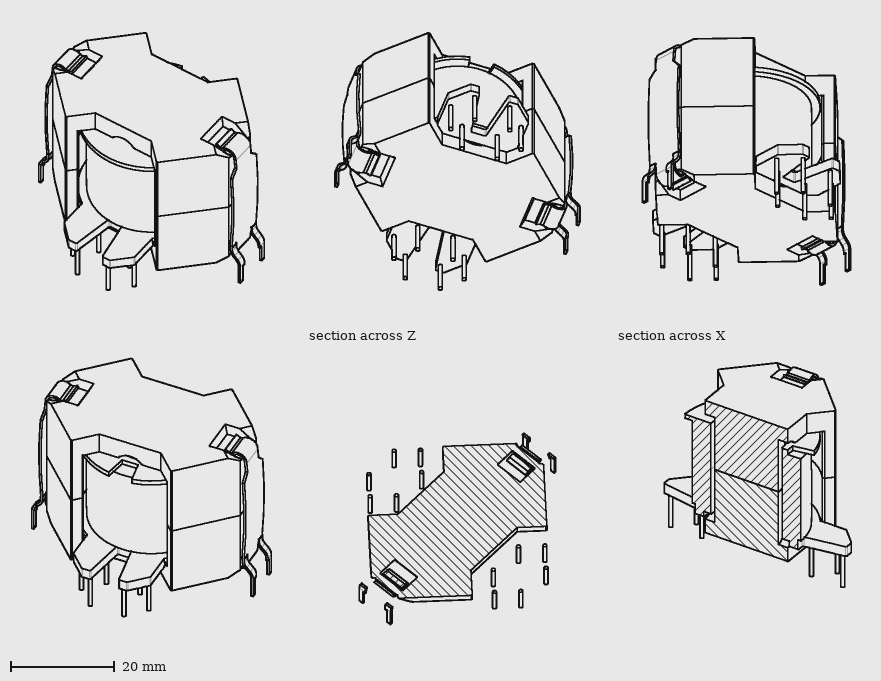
import cadquery as cq
import math

half_height = 15.05
core_end_x = 20.65
core_end_half_width = 3.65
tip_y = 13.45
waist_y = 9.55
waist_half_length = 6.55
post_diameter = 14.75
window_diameter = 29.25
opening_half_width = 9.05
window_half_height = 10.6
wire_channel_radius = 3.1
wire_channel_crown_z = 11.85

facet_top_x = 18.9
facet_end_drop = 1.3

pocket_inner_x = 14.0
pocket_half_width = 3.6
pocket_floor_z = 13.4
pocket_wall_inset = 0.75
ridge_x = 19.05
ridge_z = 13.85
ridge_foot_x = 18.65
pocket_lip_z = 13.55

flange_diameter = 28.3
winding_diameter = 25.0
bobbin_bore = 16.3
flange_outer_z = 10.35
flange_inner_z = 9.35
notch_mouth_half_width = 2.45
notch_root_half_width = 1.7
notch_mouth_y = 13.92
notch_root_y = 9.55
block_half_width = 8.2
block_end_y = 21.0
block_bottom_z = -11.5
block_chamfer = 3.4
block_corner_radius = 0.3
core_clearance = 0.2
slot_mouth_half_width = 3.0
slot_root_half_width = 1.5
slot_root_y = 11.9
slot_root_radius = 0.3

pin_diameter = 0.8
pin_pitch = 3.6
pin_tip_z = -19.0
pin_middle_y = 16.2

clip_thickness = 0.45
clip_outer_x = 22.1
clip_half_width = 4.05
tongue_half_width = 2.45
hook_center_x = 19.6
hook_center_z = 12.6
hook_radius = 1.9
hook_end_angle = 50.0
valley_x = 17.8
valley_z = 13.92
hook_tip_length = 1.0
hook_tip_angle = 30.0
taper_start_z = 8.8
leg_top_z = -10.35
leg_bend_z = -11.05
leg_inner_y = 2.6
leg_outer_x = 23.6
leg_bend_angle = 45.0
leg_upper_radius = 1.65
leg_lower_radius = 2.12
leg_slope_drop = 0.75
leg_step_z = -15.05
leg_pin_width = 0.95


def core_outline():
    tip_outer_x = core_end_x + core_end_half_width - tip_y
    tip_inner_x = waist_half_length + tip_y - waist_y
    right_top = [
        (core_end_x, core_end_half_width),
        (tip_outer_x, tip_y),
        (tip_inner_x, tip_y),
        (waist_half_length, waist_y),
    ]
    left_top = [(-x, y) for x, y in reversed(right_top)]
    bottom = [(-x, -y) for x, y in right_top + left_top]
    return right_top + left_top + bottom


def winding_space():
    space = cq.Workplane("XY").circle(window_diameter / 2).extrude(window_half_height)
    openings = (
        cq.Workplane("XY")
        .rect(2 * opening_half_width, 2 * tip_y)
        .extrude(window_half_height)
    )
    post = cq.Workplane("XY").circle(post_diameter / 2).extrude(window_half_height)
    return space.union(openings).cut(post)


def wire_channel():
    channel = (
        cq.Workplane("XZ")
        .center(0, wire_channel_crown_z - wire_channel_radius)
        .circle(wire_channel_radius)
        .extrude(window_diameter / 2, both=True)
    )
    post = cq.Workplane("XY").circle(post_diameter / 2).extrude(half_height)
    return channel.cut(post)


def corner_facet():
    """Cutter that slopes off the +X +Y corner along its slanted side, as far in as the pocket wall."""
    run = (core_end_x - facet_top_x) * math.sqrt(2)
    side_y = core_end_half_width + core_end_x - facet_top_x
    pocket_floor_half_width = pocket_half_width - pocket_wall_inset
    slope = cq.Plane(
        origin=(facet_top_x, side_y, half_height),
        xDir=(1, -1, 0),
        normal=(-1, -1, 0),
    )
    wedge = (
        cq.Workplane(slope)
        .polyline([(0, 0), (2 * run, 0), (2 * run, -2 * facet_end_drop)])
        .close()
        .extrude(run)
    )
    outside_pocket = (
        cq.Workplane("XY", origin=(0, pocket_floor_half_width, 0))
        .box(core_end_x, side_y, half_height, centered=False)
    )
    return wedge.intersect(outside_pocket)


def clip_pocket():
    """Pocket in the +X end with leaning walls and a ridge across its floor."""
    depth = half_height - pocket_floor_z
    length = 2 * (core_end_x - pocket_inner_x)
    hollow = (
        cq.Workplane("XY", origin=(pocket_inner_x + length / 2, 0, half_height))
        .rect(length, 2 * pocket_half_width)
        .workplane(offset=-depth)
        .rect(length - 2 * pocket_wall_inset, 2 * (pocket_half_width - pocket_wall_inset))
        .loft(ruled=True)
    )
    ridge = (
        cq.Workplane("XZ")
        .polyline([
            (ridge_foot_x, pocket_floor_z),
            (ridge_x, ridge_z),
            (core_end_x, pocket_lip_z),
            (core_end_x, pocket_floor_z),
        ])
        .close()
        .extrude(pocket_half_width, both=True)
    )
    return hollow.cut(ridge)


def make_upper_core():
    core = cq.Workplane("XY").polyline(core_outline()).close().extrude(half_height)
    core = core.cut(winding_space()).cut(wire_channel())
    facet = corner_facet()
    facets = facet.union(facet.mirror("XZ"))
    end_cut = facets.union(clip_pocket())
    return core.cut(end_cut).cut(end_cut.mirror("YZ"))


def flange_notch():
    notch = cq.Workplane("XY", origin=(0, 0, flange_inner_z)).polyline([
        (-notch_root_half_width, notch_root_y),
        (-notch_mouth_half_width, notch_mouth_y),
        (-notch_mouth_half_width, flange_diameter / 2),
        (notch_mouth_half_width, flange_diameter / 2),
        (notch_mouth_half_width, notch_mouth_y),
        (notch_root_half_width, notch_root_y),
    ])
    return notch.close().extrude(flange_outer_z - flange_inner_z)


def terminal_block():
    """Forked block on the +Y side whose inner edge follows the core waist."""
    inner_y = waist_y + core_clearance
    block = cq.Workplane("XY", origin=(0, 0, block_bottom_z)).polyline([
        (-waist_half_length, inner_y),
        (waist_half_length, inner_y),
        (block_half_width, inner_y + block_half_width - waist_half_length),
        (block_half_width, block_end_y - block_chamfer),
        (block_half_width - block_chamfer, block_end_y),
        (-block_half_width + block_chamfer, block_end_y),
        (-block_half_width, block_end_y - block_chamfer),
        (-block_half_width, inner_y + block_half_width - waist_half_length),
    ])
    block = block.close().extrude(-flange_inner_z - block_bottom_z)
    block = block.cut(terminal_slot())
    margin = 0.45
    outer_end = cq.selectors.BoxSelector(
        (-block_half_width - margin, block_end_y - block_chamfer - margin, block_bottom_z),
        (block_half_width + margin, block_end_y + margin, 0),
    )
    return block.edges("|Z").edges(outer_end).fillet(block_corner_radius)


def terminal_slot():
    """Tapered slot that splits a block and the lower flange above it."""
    slot = cq.Workplane("XY", origin=(0, 0, block_bottom_z)).polyline([
        (-slot_root_half_width, slot_root_y),
        (-slot_mouth_half_width, block_end_y),
        (slot_mouth_half_width, block_end_y),
        (slot_root_half_width, slot_root_y),
    ])
    slot = slot.close().extrude(-flange_inner_z - block_bottom_z)
    root_edges = slot.faces("<Y").edges("|Z")
    return root_edges.fillet(slot_root_radius)


def terminal_pins():
    side_x = 2 * pin_pitch
    positions = []
    for side in (-1, 1):
        positions += [(x, side * pin_middle_y) for x in (-side_x, side_x)]
        for y in (pin_middle_y - pin_pitch, pin_middle_y + pin_pitch):
            positions += [(x, side * y) for x in (-pin_pitch, pin_pitch)]
    pins = cq.Workplane("XY", origin=(0, 0, pin_tip_z)).pushPoints(positions)
    return pins.circle(pin_diameter / 2).extrude(block_bottom_z - pin_tip_z)


def make_bobbin():
    body = cq.Workplane("XY").circle(winding_diameter / 2).extrude(flange_inner_z, both=True)
    flange = (
        cq.Workplane("XY", origin=(0, 0, flange_inner_z))
        .circle(flange_diameter / 2)
        .extrude(flange_outer_z - flange_inner_z)
    )
    body = body.union(flange.cut(flange_notch()))
    lower = flange.mirror("XY")
    block = terminal_block()
    slot = terminal_slot()
    lower = lower.cut(slot).cut(slot.mirror("XZ"))
    body = body.union(lower).union(block).union(block.mirror("XZ"))
    bore = cq.Workplane("XY").circle(bobbin_bore / 2).extrude(flange_outer_z, both=True)
    return body.cut(bore).union(terminal_pins())


def hook_point(radius, angle):
    a = math.radians(angle)
    return (hook_center_x + radius * math.cos(a), hook_center_z + radius * math.sin(a))


def mirrored(point):
    return (point[0], -point[1])


def strip_profile():
    """Bowed strip with a hook at each end, drawn in the XZ plane for the +X clip."""
    inner_radius = hook_radius - clip_thickness
    inward = 180 - hook_end_angle
    mid = inward / 2
    tip = math.radians(hook_tip_angle)
    outer_start = hook_point(hook_radius, 0)
    inner_start = hook_point(inner_radius, 0)
    outer_end = hook_point(hook_radius, inward)
    inner_end = hook_point(inner_radius, inward)
    valley = (valley_x, valley_z)
    tip_top = (valley_x - hook_tip_length * math.cos(tip), valley_z + hook_tip_length * math.sin(tip))
    tip_base = (
        tip_top[0] - clip_thickness * math.sin(tip),
        tip_top[1] - clip_thickness * math.cos(tip),
    )
    valley_base_z = valley_z - clip_thickness
    valley_base = (tip_base[0] + (tip_base[1] - valley_base_z) / math.tan(tip), valley_base_z)
    heel_base = (inner_end[0] - (inner_end[1] - valley_base_z), valley_base_z)
    return (
        cq.Workplane("XZ")
        .moveTo(*mirrored(outer_start))
        .threePointArc((clip_outer_x, 0), outer_start)
        .threePointArc(hook_point(hook_radius, mid), outer_end)
        .lineTo(*valley)
        .lineTo(*tip_top)
        .lineTo(*tip_base)
        .lineTo(*valley_base)
        .lineTo(*heel_base)
        .lineTo(*inner_end)
        .threePointArc(hook_point(inner_radius, mid), inner_start)
        .threePointArc((clip_outer_x - clip_thickness, 0), mirrored(inner_start))
        .threePointArc(mirrored(hook_point(inner_radius, mid)), mirrored(inner_end))
        .lineTo(*mirrored(heel_base))
        .lineTo(*mirrored(valley_base))
        .lineTo(*mirrored(tip_base))
        .lineTo(*mirrored(tip_top))
        .lineTo(*mirrored(valley))
        .lineTo(*mirrored(outer_end))
        .threePointArc(mirrored(hook_point(hook_radius, mid)), mirrored(outer_start))
        .close()
    )


def strip_width_outline():
    """Width of the strip along its height, in the YZ plane."""
    shoulder_z = taper_start_z + clip_half_width - tongue_half_width
    right = [
        (tongue_half_width, -half_height),
        (tongue_half_width, leg_top_z),
        (clip_half_width, leg_top_z),
        (clip_half_width, taper_start_z),
        (tongue_half_width, shoulder_z),
        (tongue_half_width, half_height),
    ]
    left = [(-y, z) for y, z in reversed(right)]
    return cq.Workplane("YZ").polyline(right + left).close().extrude(leg_outer_x)


def leg_profile():
    """Leg that bends outwards and then straight down, in the XZ plane."""
    bend = math.radians(leg_bend_angle)
    t = clip_thickness

    def arc_points(center, radius, start):
        angles = [start + bend * part for part in (0.5, 1)]
        return [(center[0] + radius * math.cos(a), center[1] + radius * math.sin(a)) for a in angles]

    run = (leg_upper_radius + leg_lower_radius) * (1 - math.cos(bend)) + leg_slope_drop * math.tan(bend)
    top_x = leg_outer_x - run
    lower_bend_z = leg_bend_z - (leg_upper_radius + leg_lower_radius) * math.sin(bend) - leg_slope_drop
    upper = (top_x + leg_upper_radius, leg_bend_z)
    lower = (leg_outer_x - leg_lower_radius, lower_bend_z)
    upper_outer = arc_points(upper, leg_upper_radius, math.pi)
    upper_inner = arc_points(upper, leg_upper_radius + t, math.pi)
    lower_outer = arc_points(lower, leg_lower_radius, 0)
    lower_inner = arc_points(lower, leg_lower_radius - t, 0)
    return (
        cq.Workplane("XZ")
        .moveTo(top_x, leg_top_z)
        .lineTo(top_x, leg_bend_z)
        .threePointArc(*upper_outer)
        .lineTo(*lower_outer[1])
        .threePointArc(lower_outer[0], (leg_outer_x, lower_bend_z))
        .lineTo(leg_outer_x, pin_tip_z)
        .lineTo(leg_outer_x - t, pin_tip_z)
        .lineTo(leg_outer_x - t, lower_bend_z)
        .threePointArc(*lower_inner)
        .lineTo(*upper_inner[1])
        .threePointArc(upper_inner[0], (top_x - t, leg_bend_z))
        .lineTo(top_x - t, leg_top_z)
        .close()
    )


def clip_leg():
    """Leg on the +Y side of the +X clip."""
    leg = leg_profile().extrude(-clip_half_width)
    width = cq.Workplane("YZ").polyline([
        (leg_inner_y, leg_top_z),
        (leg_inner_y, leg_step_z),
        (clip_half_width - leg_pin_width, leg_step_z),
        (clip_half_width - leg_pin_width, pin_tip_z),
        (clip_half_width, pin_tip_z),
        (clip_half_width, leg_top_z),
    ])
    return leg.intersect(width.close().extrude(leg_outer_x))


def make_clip():
    strip = strip_profile().extrude(clip_half_width, both=True).intersect(strip_width_outline())
    leg = clip_leg()
    return strip.union(leg).union(leg.mirror("XZ"))


upper_core = make_upper_core()
lower_core = upper_core.mirror("XY")
bobbin = make_bobbin()
right_clip = make_clip()
left_clip = right_clip.mirror("YZ")

result = cq.Compound.makeCompound([
    upper_core.solids().val(),
    lower_core.solids().val(),
    bobbin.solids().val(),
    right_clip.solids().val(),
    left_clip.solids().val(),
])